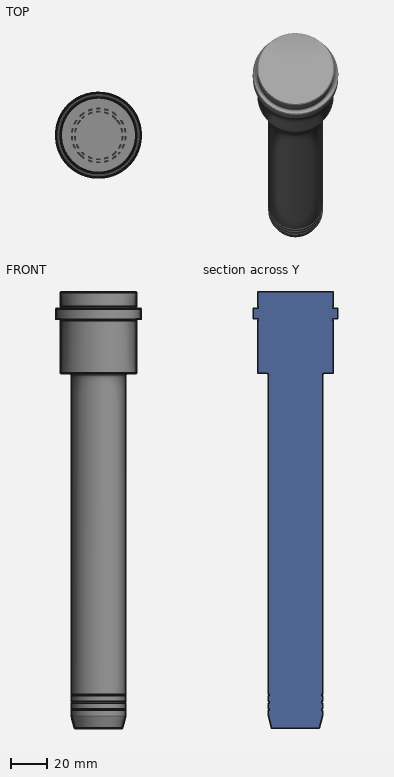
import cadquery as cq

total_length = 240.0
head_length = 45.0
shank_length = total_length - head_length

head_radius = 21.0
head_top_chamfer = 0.5
head_bottom_chamfer = 0.5
head_root_fillet = 0.8
collar_radius = 23.5
collar_top = total_length - 9.0
collar_height = 6.0
collar_bottom = collar_top - collar_height
collar_chamfer = 0.5

shank_radius = 15.0
lead_in_top = 7.0
lead_in_end_radius = 13.3
tip_chamfer = 0.4

groove_width = 1.0
groove_depth = 0.45
groove_count = 3
first_groove_height = 10.5
groove_pitch = 4.0


def make_shank():
    profile = (
        cq.Workplane("XZ")
        .lineTo(lead_in_end_radius - tip_chamfer, 0)
        .lineTo(lead_in_end_radius, tip_chamfer)
        .lineTo(shank_radius, lead_in_top)
        .lineTo(shank_radius, shank_length - head_root_fillet)
        .radiusArc((shank_radius + head_root_fillet, shank_length), head_root_fillet)
        .lineTo(0, shank_length)
        .close()
    )
    return profile.revolve(360, (0, 0), (0, 1))


def make_head():
    head = cq.Workplane("XY").workplane(offset=shank_length).circle(head_radius).extrude(head_length)
    return head.faces(">Z").chamfer(head_top_chamfer).faces("<Z").chamfer(head_bottom_chamfer)


def make_collar():
    disc = cq.Workplane("XY").workplane(offset=collar_bottom).circle(collar_radius).extrude(collar_height)
    return disc.faces(">Z").chamfer(collar_chamfer)


def groove_ring(surface_radius, center_height):
    """Ring to cut away: a narrow flat floor between two quarter-round sides."""
    floor_radius = surface_radius - groove_depth
    half_width = groove_width / 2
    half_floor = half_width - groove_depth
    section = (
        cq.Workplane("XZ")
        .moveTo(surface_radius, center_height - half_width)
        .radiusArc((floor_radius, center_height - half_floor), groove_depth)
        .lineTo(floor_radius, center_height + half_floor)
        .radiusArc((surface_radius, center_height + half_width), groove_depth)
        .close()
    )
    return section.revolve(360, (0, 0), (0, 1))


result = make_shank().union(make_head())
for relief_height in (collar_top + groove_width / 2, collar_bottom - groove_width / 2):
    result = result.cut(groove_ring(head_radius, relief_height))
for index in range(groove_count):
    result = result.cut(groove_ring(shank_radius, first_groove_height + index * groove_pitch))
result = result.union(make_collar())